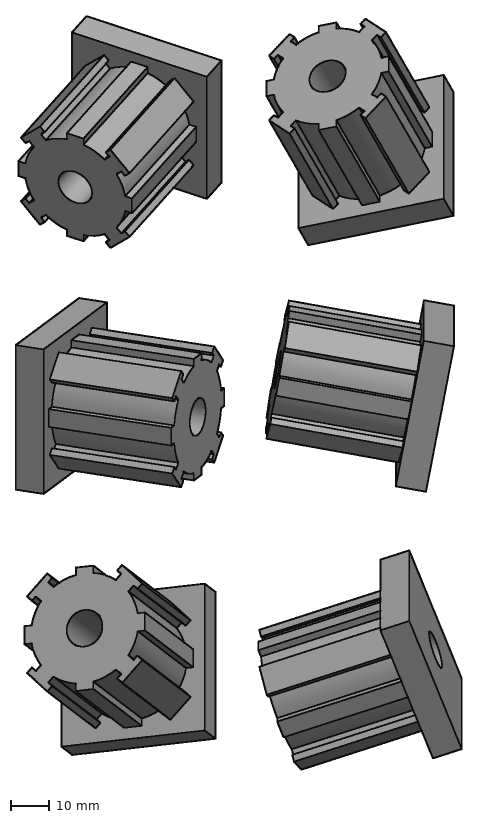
import cadquery as cq

plate_side = 40.0
plate_thickness = 8.0

total_length = 43.0
core_length = total_length - plate_thickness
core_radius = 15.0
bore_radius = 5.0

key_width = 4.9
key_reach = 16.8

stem_width = 5.0
cap_width = 8.0
cap_thickness = 1.95
cap_reach = 18.75

front_y = -total_length / 2
plate_front_y = front_y + core_length


def section_plane(y):
    """XZ sketch plane at y; positive extrusion runs toward -Y."""
    return cq.Workplane("XZ", origin=(0, y, 0))


def radial_bar(inner, outer, width, angle):
    """Bar along the core from one radial distance to another, turned about the Y axis."""
    bar = (
        section_plane(front_y)
        .center((inner + outer) / 2, 0)
        .rect(outer - inner, width)
        .extrude(-core_length)
    )
    return bar.rotate((0, 0, 0), (0, 1, 0), angle)


def t_rib(angle):
    """Rib with a narrow stem and a wider flat cap."""
    cap_underside = cap_reach - cap_thickness
    stem = radial_bar(0, cap_reach, stem_width, angle)
    cap = radial_bar(cap_underside, cap_reach, cap_width, angle)
    return stem.union(cap)


plate = section_plane(plate_front_y).rect(plate_side, plate_side).extrude(-plate_thickness)
core = section_plane(front_y).circle(core_radius).extrude(-core_length)
body = plate.union(core)

for key_angle in (0, 90, 180, 270):
    body = body.union(radial_bar(0, key_reach, key_width, key_angle))
    body = body.union(t_rib(key_angle + 45))

bore = section_plane(front_y).circle(bore_radius).extrude(-total_length)
result = body.cut(bore)